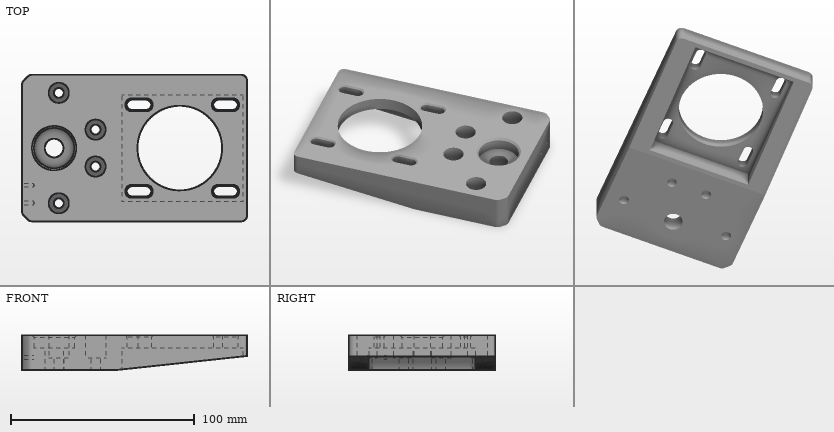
import cadquery as cq
import math

LENGTH = 122.6
WIDTH = 80.0
THICKNESS = 19.0

TAPER_START_X = 52.0
TAPER_END_HEIGHT = 7.6

RIGHT_CORNER_RADIUS = 3.3
LEFT_CORNER_CHAMFER = 4.2
LEFT_CORNER_BLEND_RADIUS = 3.4

BEARING_X = 17.5
BEARING_DIAMETER = 22.0
BEARING_DEPTH = 7.0
BEARING_CHAMFER = 1.1
SHAFT_DIAMETER = 10.0

SCREW_PAIRS = [(20.1, 30.0), (40.1, 10.0)]
SCREW_DIAMETER = 5.3
SCREW_HEAD_DIAMETER = 11.0
SCREW_HEAD_DEPTH = 12.3

OPENING_X = 86.0
OPENING_DIAMETER = 46.0

SLOT_CENTRE_X = 87.3
SLOT_SPACING = 47.1
SLOT_LENGTH = 13.2
SLOT_WIDTH = 5.4
SLOT_CHAMFER = 0.9

RECESS_CEILING_DEPTH = 7.0
RECESS_WIDTH = 57.9
RECESS_LENGTH = RECESS_WIDTH + SLOT_LENGTH - SLOT_WIDTH

SIDE_HOLE_YS = (-20.1, -29.8)
SIDE_HOLE_HEIGHT = 7.0
SIDE_HOLE_DIAMETER = 2.1
SIDE_HOLE_DEPTH = 6.1
DRILL_POINT_ANGLE = 118.0


def make_plate():
    """Side profile extruded across the width, with the vertical corners finished."""
    plate = (
        cq.Workplane("XZ")
        .polyline([
            (0, 0),
            (TAPER_START_X, 0),
            (LENGTH, TAPER_END_HEIGHT),
            (LENGTH, THICKNESS),
            (0, THICKNESS),
        ])
        .close()
        .extrude(WIDTH / 2, both=True)
    )
    plate = plate.faces(">X").edges("|Z").fillet(RIGHT_CORNER_RADIUS)
    plate = plate.faces("<X").edges("|Z").chamfer(LEFT_CORNER_CHAMFER)
    blend_zone = cq.selectors.BoxSelector(
        (-1.2, -WIDTH, -1.2),
        (LEFT_CORNER_CHAMFER + 1.2, WIDTH, THICKNESS + 1.2),
    )
    return plate.edges("|Z").edges(blend_zone).fillet(LEFT_CORNER_BLEND_RADIUS)


def top_plane():
    return cq.Workplane("XY", origin=(0, 0, THICKNESS))


def cut_bearing_seat(body):
    seat = top_plane().center(BEARING_X, 0).circle(BEARING_DIAMETER / 2).extrude(-BEARING_DEPTH)
    shaft = top_plane().center(BEARING_X, 0).circle(SHAFT_DIAMETER / 2).extrude(-THICKNESS)
    lead_in = (
        top_plane()
        .center(BEARING_X, 0)
        .circle(BEARING_DIAMETER / 2 + BEARING_CHAMFER)
        .extrude(-BEARING_CHAMFER, taper=45)
    )
    return body.cut(seat).cut(shaft).cut(lead_in)


def cut_screw_holes(body):
    points = [(x, side * y) for x, y in SCREW_PAIRS for side in (-1, 1)]
    shanks = top_plane().pushPoints(points).circle(SCREW_DIAMETER / 2).extrude(-THICKNESS)
    heads = top_plane().pushPoints(points).circle(SCREW_HEAD_DIAMETER / 2).extrude(-SCREW_HEAD_DEPTH)
    return body.cut(shanks).cut(heads)


def cut_opening(body):
    opening = top_plane().center(OPENING_X, 0).circle(OPENING_DIAMETER / 2).extrude(-THICKNESS)
    return body.cut(opening)


def cut_slots(body):
    mouth_length = SLOT_LENGTH + 2 * SLOT_CHAMFER
    mouth_width = SLOT_WIDTH + 2 * SLOT_CHAMFER
    slot = top_plane().slot2D(SLOT_LENGTH, SLOT_WIDTH).extrude(-THICKNESS)
    lead_in = top_plane().slot2D(mouth_length, mouth_width).extrude(-SLOT_CHAMFER, taper=45)
    cutter = slot.union(lead_in)
    for x_side in (-1, 1):
        for y_side in (-1, 1):
            x = SLOT_CENTRE_X + x_side * SLOT_SPACING / 2
            y = y_side * SLOT_SPACING / 2
            body = body.cut(cutter.translate((x, y, 0)))
    return body


def cut_motor_recess(body):
    recess = (
        cq.Workplane("XY")
        .center(SLOT_CENTRE_X, 0)
        .rect(RECESS_LENGTH, RECESS_WIDTH)
        .extrude(THICKNESS - RECESS_CEILING_DEPTH)
    )
    return body.cut(recess)


def cut_side_holes(body):
    """Blind holes with conical ends, running in from the left end face."""
    radius = SIDE_HOLE_DIAMETER / 2
    tip_length = radius / math.tan(math.radians(DRILL_POINT_ANGLE / 2))
    drill = (
        cq.Workplane("XY")
        .polyline([
            (0, 0),
            (0, radius),
            (SIDE_HOLE_DEPTH, radius),
            (SIDE_HOLE_DEPTH + tip_length, 0),
        ])
        .close()
        .revolve(360, (0, 0, 0), (1, 0, 0))
    )
    for y in SIDE_HOLE_YS:
        body = body.cut(drill.translate((0, y, SIDE_HOLE_HEIGHT)))
    return body


result = make_plate()
result = cut_bearing_seat(result)
result = cut_screw_holes(result)
result = cut_opening(result)
result = cut_motor_recess(result)
result = cut_slots(result)
result = cut_side_holes(result)